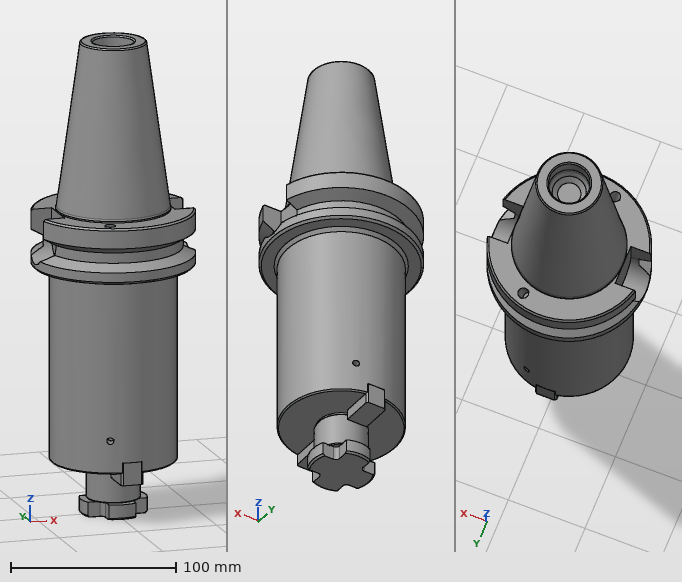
import cadquery as cq
import math

total_height = 294.8
screw_head_height = 9.5
key_bottom = 26.2
neck_bottom = 31.2
body_bottom = 33.3
key_top = 40.5
coolant_exit_level = 54.2
body_cone_bottom = 152.5
flange_bottom = 155.0
flange_top = 189.9
gauge_level = 192.0

gauge_radius = 35.0
gauge_chamfer_width = 0.45
gauge_chamfer_height = 1.2
taper_tip_radius = 20.3
tip_chamfer = 1.0

flange_diameter = 100.0
flange_radius = flange_diameter / 2
flange_chamfer = 1.2
flange_lower_chamfer = 1.5
body_cone_radius = 40.7
groove_radius = 42.5
groove_upper_edge = 177.5
groove_upper_floor = 173.0
groove_lower_floor = 166.5
groove_lower_edge = 162.5

slot_width = 25.6
slot_bottom = 159.0
slot_floor_distance = 35.0

body_radius = 39.0
body_chamfer = 1.0
spigot_radius = 16.5
spigot_chamfer = 0.5
neck_radius = 15.5
neck_cone_height = 1.0
screw_head_radius = 20.5
screw_head_chamfer = 1.2
cross_arm_width = 17.0
cross_corner_radius = 2.7

key_width = 14.0
key_inner_distance = 17.5
key_chamfer = 1.2

bore_mouth_radius = 13.5
bore_mouth_depth = 1.0
bore_radius = 12.7
bore_depth = 10.5
bore_ledge_radius = 12.0
bore_ledge_depth = 12.0
steep_cone_radius = 10.3
steep_cone_depth = 15.3
bore_floor_radius = 7.0
bore_floor_depth = 18.3

coolant_angle = 250.0
coolant_entry_distance = 42.0
coolant_entry_radius = 3.2
coolant_entry_depth = 17.7
coolant_entry_tilt = 15.0
coolant_exit_radius = 2.0
coolant_exit_depth = 8.8


def revolve_profile(profile):
    """Turn a closed outline of (radius, level) points about the tool axis."""
    return cq.Workplane("XZ").polyline(profile).close().revolve(360, (0, 0), (0, 1))


def make_turned_body():
    """Revolve everything above the screw head."""
    profile = [
        (0, screw_head_height),
        (spigot_radius - spigot_chamfer, screw_head_height),
        (spigot_radius, screw_head_height + spigot_chamfer),
        (spigot_radius, neck_bottom),
        (neck_radius, neck_bottom + neck_cone_height),
        (neck_radius, body_bottom),
        (body_radius - body_chamfer, body_bottom),
        (body_radius, body_bottom + body_chamfer),
        (body_radius, body_cone_bottom),
        (body_cone_radius, flange_bottom),
        (flange_radius - flange_lower_chamfer, flange_bottom),
        (flange_radius, flange_bottom + flange_lower_chamfer),
        (flange_radius, groove_lower_edge),
        (groove_radius, groove_lower_floor),
        (groove_radius, groove_upper_floor),
        (flange_radius, groove_upper_edge),
        (flange_radius, flange_top - flange_chamfer),
        (flange_radius - flange_chamfer, flange_top),
        (gauge_radius, flange_top),
        (gauge_radius, gauge_level - gauge_chamfer_height),
        (gauge_radius - gauge_chamfer_width, gauge_level),
        (taper_tip_radius, total_height - tip_chamfer),
        (taper_tip_radius - tip_chamfer, total_height),
        (0, total_height),
    ]
    return revolve_profile(profile)


def make_screw_head():
    """Disc trimmed to a cross whose inner corners are rounded."""
    disc = cq.Workplane("XY").circle(screw_head_radius).extrude(screw_head_height)
    disc = disc.faces("<Z").chamfer(screw_head_chamfer)
    arm_length = 2 * screw_head_radius
    cross = cq.Workplane("XY").rect(arm_length, cross_arm_width).extrude(screw_head_height)
    cross = cross.union(cq.Workplane("XY").rect(cross_arm_width, arm_length).extrude(screw_head_height))
    corner_box = cq.selectors.BoxSelector(
        (-cross_arm_width, -cross_arm_width, 0), (cross_arm_width, cross_arm_width, screw_head_height)
    )
    cross = cross.edges("|Z").edges(corner_box).fillet(cross_corner_radius)
    return disc.intersect(cross)


def make_key(side):
    """Drive key crossing the body's lower rim on the +Y or -Y side."""
    key_length = body_radius - key_inner_distance
    outer_face = ">Y" if side > 0 else "<Y"
    key = cq.Workplane("XY").box(key_width, key_length, key_top - key_bottom)
    key = key.edges("|Z").edges(outer_face).chamfer(key_chamfer)
    return key.translate((0, side * (key_inner_distance + key_length / 2), (key_top + key_bottom) / 2))


def make_slot(side):
    """Round-bottomed drive slot cut into the flange from the +X or -X side."""
    slot_radius = slot_width / 2
    arc_level = slot_bottom + slot_radius
    return (
        cq.Workplane("YZ", origin=(side * slot_floor_distance, 0, 0))
        .moveTo(-slot_radius, gauge_level)
        .lineTo(-slot_radius, arc_level)
        .threePointArc((0, slot_bottom), (slot_radius, arc_level))
        .lineTo(slot_radius, gauge_level)
        .close()
        .extrude(side * flange_radius)
    )


def make_drawbar_bore():
    """Blind bore in the taper tip, narrowing through two cones to a flat floor."""
    profile = [
        (0, total_height),
        (bore_mouth_radius, total_height),
        (bore_radius, total_height - bore_mouth_depth),
        (bore_radius, total_height - bore_depth),
        (bore_ledge_radius, total_height - bore_ledge_depth),
        (steep_cone_radius, total_height - steep_cone_depth),
        (bore_floor_radius, total_height - bore_floor_depth),
        (0, total_height - bore_floor_depth),
    ]
    return revolve_profile(profile)


def make_coolant_holes(angle):
    """Blind hole leaning inward from the flange top and radial hole low on the body."""
    outward = cq.Vector(math.cos(math.radians(angle)), math.sin(math.radians(angle)), 0)
    tilt = math.radians(coolant_entry_tilt)
    entry_axis = outward * -math.sin(tilt) + cq.Vector(0, 0, -math.cos(tilt))
    entry_mouth = outward * coolant_entry_distance + cq.Vector(0, 0, flange_top)
    entry = cq.Solid.makeCylinder(
        coolant_entry_radius,
        2 * coolant_entry_depth,
        entry_mouth - entry_axis * coolant_entry_depth,
        entry_axis,
    )
    exit_hole = cq.Solid.makeCylinder(
        coolant_exit_radius,
        2 * coolant_exit_depth,
        outward * (body_radius - coolant_exit_depth) + cq.Vector(0, 0, coolant_exit_level),
        outward,
    )
    return cq.Workplane(entry).add(exit_hole).combine()


result = make_turned_body().union(make_screw_head())
for side in (-1, 1):
    result = result.union(make_key(side))
    result = result.cut(make_slot(side))
result = result.cut(make_drawbar_bore())
for angle in (coolant_angle, coolant_angle - 180):
    result = result.cut(make_coolant_holes(angle))